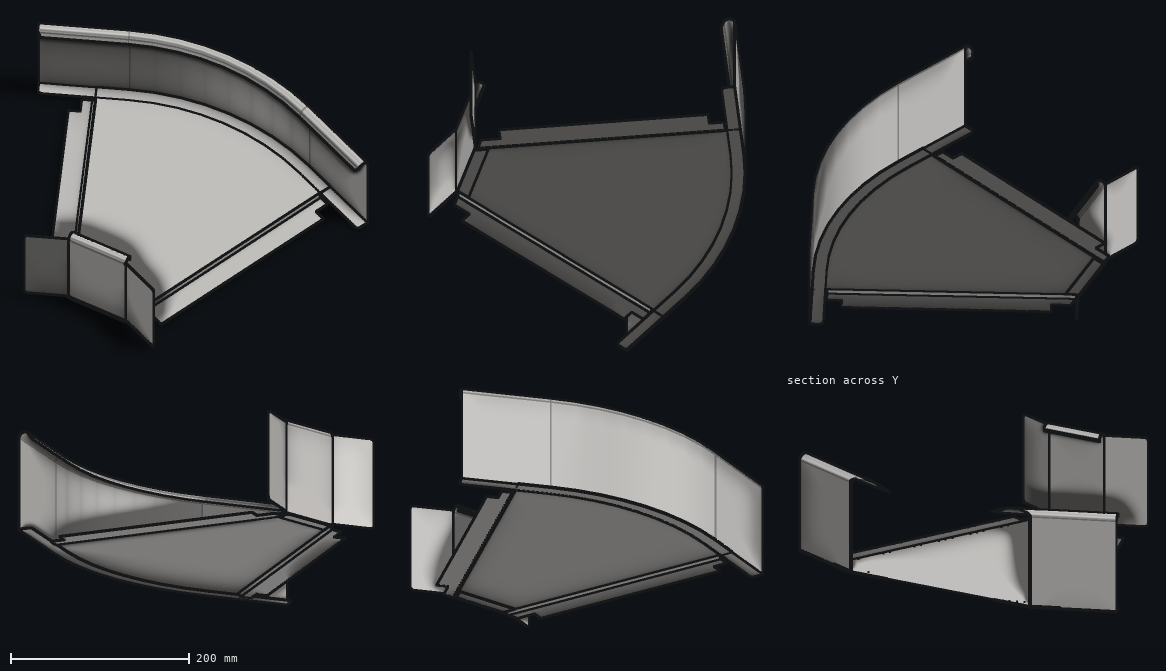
import cadquery as cq
import math


TOTAL_WIDTH = 418.8
SHEET = 1.15
BEND_ANGLE = 45
HALF_BEND = math.radians(BEND_ANGLE / 2)
SIN = math.sin(HALF_BEND)
COS = math.cos(HALF_BEND)

OUTER_RADIUS = 300.0
OUTER_TOP = 114.5
OUTER_ROLL_RADIUS = 7.0
OUTER_ROLL_END_ANGLE = 20
OUTER_TAIL_TIP = 283.0
OUTER_TAIL_DROP = 5.0
FLANGE_WIDTH = 15.5
FLANGE_TIP = OUTER_RADIUS - FLANGE_WIDTH
END_CHAMFER = 4.0
LEG_LENGTH = (TOTAL_WIDTH / 2 - OUTER_RADIUS * SIN) / COS

INNER_HALF_WIDTH = 36.5
INNER_FRONT = -INNER_HALF_WIDTH * math.tan(HALF_BEND)
INNER_BACK = INNER_FRONT + SHEET
INNER_TOP = 112.0
INNER_ROLL_RADIUS = OUTER_ROLL_RADIUS - SHEET
INNER_TAIL_RUN = 1.3
INNER_TAIL_DROP = 2.5
INNER_FLANGE_EDGE = 35.0
WING_END = 88.8
WING_BOTTOM = 3.5
WING_TOP = 108.0
WING_CORNER_RADIUS = 3.5

BASE_BOTTOM = SHEET
BASE_EDGE = 37.3
STEP_RUN = 3.5
TAB_BOTTOM = -2.5
STEP_DROP = BASE_BOTTOM - TAB_BOTTOM
NARROW_EDGE = 52.5
TAB_EDGE = 65.7
TAB_INNER_END = 30.0
TAB_OUTER_END = 265.5
STEP_OUTER_END = 282.3
STEP_FRONT = -12.0


def plan_point(radial, along):
    """Plan X, Y of a place near the +X end of the tray."""
    return (radial * SIN + along * COS, radial * COS - along * SIN)


def radial_at(y, along):
    """Radial distance at which a line of constant "along" meets the given Y."""
    return (y + along * SIN) / COS


def mirrored(point):
    return (-point[0], point[1])


def both_sides(solid):
    return solid.union(solid.mirror("YZ"))


END_PLANE = cq.Plane(origin=(0, 0, 0), xDir=(SIN, COS, 0), normal=(COS, -SIN, 0))

ALONG_PLANE = cq.Plane(origin=(0, 0, 0), xDir=(COS, -SIN, 0), normal=(-SIN, -COS, 0))


def outer_section(workplane):
    roll_z = OUTER_TOP - OUTER_ROLL_RADIUS
    roll_r = OUTER_RADIUS - OUTER_ROLL_RADIUS
    inner_roll = OUTER_ROLL_RADIUS - SHEET
    roll_end_angle = math.radians(OUTER_ROLL_END_ANGLE)
    cos_end, sin_end = math.cos(roll_end_angle), math.sin(roll_end_angle)
    roll_end = (roll_r - OUTER_ROLL_RADIUS * cos_end, roll_z + OUTER_ROLL_RADIUS * sin_end)
    inner_end = (roll_r - inner_roll * cos_end, roll_z + inner_roll * sin_end)
    return (
        workplane.moveTo(FLANGE_TIP, 0)
        .lineTo(OUTER_RADIUS, 0)
        .lineTo(OUTER_RADIUS, roll_z)
        .threePointArc((roll_r, OUTER_TOP), roll_end)
        .lineTo(OUTER_TAIL_TIP, roll_end[1] - OUTER_TAIL_DROP)
        .line(SHEET, 0)
        .lineTo(*inner_end)
        .threePointArc((roll_r, OUTER_TOP - SHEET), (OUTER_RADIUS - SHEET, roll_z))
        .lineTo(OUTER_RADIUS - SHEET, SHEET)
        .lineTo(FLANGE_TIP, SHEET)
        .close()
    )


def make_outer_wall():
    bend = outer_section(cq.Workplane(END_PLANE)).revolve(BEND_ANGLE, (0, 0), (0, 1))
    leg = outer_section(cq.Workplane(END_PLANE)).extrude(LEG_LENGTH)
    end_corner = (
        cq.Workplane("XY")
        .polyline([
            plan_point(OUTER_TAIL_TIP, LEG_LENGTH),
            plan_point(OUTER_TAIL_TIP + END_CHAMFER, LEG_LENGTH),
            plan_point(OUTER_TAIL_TIP, LEG_LENGTH - END_CHAMFER),
        ])
        .close()
        .extrude(OUTER_TOP)
    )
    return bend.union(both_sides(leg.cut(end_corner)))


def make_inner_wall():
    roll_z = INNER_TOP - INNER_ROLL_RADIUS
    roll_y = INNER_FRONT + INNER_ROLL_RADIUS
    tip_y = INNER_FRONT + 2 * INNER_ROLL_RADIUS
    panel = (
        cq.Workplane("YZ", origin=(-INNER_HALF_WIDTH, 0, 0))
        .moveTo(INNER_FRONT, 0)
        .lineTo(INNER_FRONT, roll_z)
        .threePointArc((roll_y, INNER_TOP), (tip_y, roll_z))
        .line(-INNER_TAIL_RUN, -INNER_TAIL_DROP)
        .line(-SHEET, 0)
        .line(INNER_TAIL_RUN, INNER_TAIL_DROP)
        .threePointArc((roll_y, INNER_TOP - SHEET), (INNER_BACK, roll_z))
        .lineTo(INNER_BACK, 0)
        .close()
        .extrude(2 * INNER_HALF_WIDTH)
    )
    bend_x = INNER_HALF_WIDTH
    wing_middle = (WING_BOTTOM + WING_TOP) / 2
    wing = (
        cq.Workplane("XY", origin=(0, 0, WING_BOTTOM))
        .polyline([
            (bend_x, INNER_FRONT),
            plan_point(0, WING_END),
            plan_point(SHEET, WING_END),
            (bend_x, INNER_FRONT + SHEET / COS),
            (bend_x - SHEET, INNER_BACK),
            (bend_x - SHEET, INNER_FRONT),
        ])
        .close()
        .extrude(WING_TOP - WING_BOTTOM)
        .faces(cq.NearestToPointSelector((*plan_point(SHEET / 2, WING_END), wing_middle)))
        .edges("#Z")
        .fillet(WING_CORNER_RADIUS)
    )
    return panel.union(make_inner_flange()).union(both_sides(wing))


def make_inner_flange():
    back_y = INNER_FRONT + FLANGE_WIDTH
    front = plan_point(radial_at(INNER_FRONT, INNER_FLANGE_EDGE), INNER_FLANGE_EDGE)
    back = plan_point(radial_at(back_y, INNER_FLANGE_EDGE), INNER_FLANGE_EDGE)
    return (
        cq.Workplane("XY")
        .polyline([front, back, mirrored(back), mirrored(front)])
        .close()
        .extrude(SHEET)
    )


def make_base_plate():
    radius = OUTER_RADIUS - SHEET
    corner = plan_point(radius, BASE_EDGE)
    tangent = plan_point(radius, 0)
    front = plan_point(radial_at(INNER_BACK, BASE_EDGE), BASE_EDGE)
    plate = (
        cq.Workplane("XY", origin=(0, 0, BASE_BOTTOM))
        .moveTo(*front)
        .lineTo(*corner)
        .lineTo(*tangent)
        .threePointArc((0, radius), mirrored(tangent))
        .lineTo(*mirrored(corner))
        .lineTo(*mirrored(front))
        .close()
        .extrude(SHEET)
    )
    return plate.union(both_sides(make_stepped_tab()))


def make_stepped_tab():
    step_start = BASE_EDGE - SHEET
    bent_strip = (
        cq.Workplane(ALONG_PLANE)
        .moveTo(step_start, BASE_BOTTOM)
        .line(STEP_RUN, -STEP_DROP)
        .lineTo(TAB_EDGE, TAB_BOTTOM)
        .line(0, SHEET)
        .lineTo(BASE_EDGE + STEP_RUN, TAB_BOTTOM + SHEET)
        .lineTo(BASE_EDGE, BASE_BOTTOM + SHEET)
        .lineTo(step_start, BASE_BOTTOM + SHEET)
        .close()
        .extrude(OUTER_RADIUS, both=True)
    )
    outline = (
        cq.Workplane("XY", origin=(0, 0, TAB_BOTTOM))
        .polyline([
            plan_point(radial_at(STEP_FRONT, step_start), step_start),
            plan_point(STEP_OUTER_END, step_start),
            plan_point(STEP_OUTER_END, NARROW_EDGE),
            plan_point(TAB_OUTER_END, NARROW_EDGE),
            plan_point(TAB_OUTER_END, TAB_EDGE),
            plan_point(TAB_INNER_END, TAB_EDGE),
            plan_point(TAB_INNER_END, NARROW_EDGE),
            plan_point(radial_at(STEP_FRONT, NARROW_EDGE), NARROW_EDGE),
        ])
        .close()
        .extrude(STEP_DROP + SHEET)
    )
    return bent_strip.intersect(outline)


outer_wall = make_outer_wall()
inner_wall = make_inner_wall()
base_plate = make_base_plate()

result = cq.Compound.makeCompound([
    outer_wall.solids().val(),
    inner_wall.solids().val(),
    base_plate.solids().val(),
])